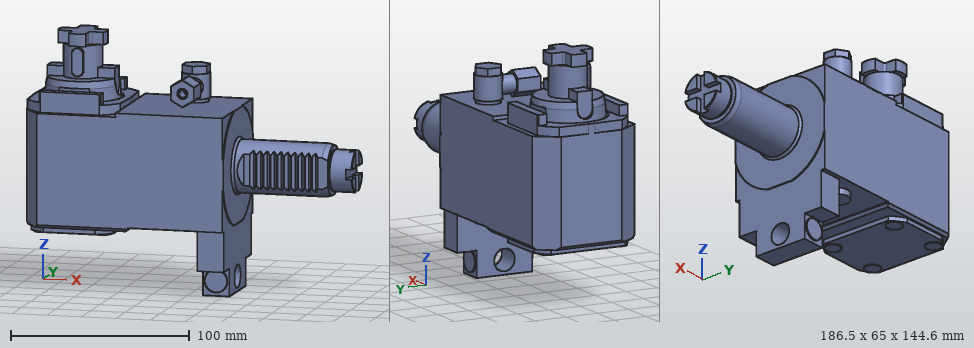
import cadquery as cq
import math


body_size = 65.0
half_size = body_size / 2
body_length = 117.7
contact_disc_height = 0.5
contact_disc_radius = 33.8
front_corner_x = 9.3
front_corner_y = 13.2
top_step_depth = 2.2
top_step_x = -62.7
sole_length = 62.1
sole_depth = 2.2
sole_chamfer = 1.7

spindle_x = -90.0
round_envelope_radius = 33.5

embed = 1.9

cover_half_length = 23.9
cover_half_width = 30.0
cover_height = 2.8
screw_head_radius = 5.0
screw_head_height = 0.5
screw_pitch_x = 34.5
screw_pitch_y = 44.8

flange_height = 5.6
flange_half_width = 29.0
flange_half_length = 27.6
flange_side_half_length = 26.5
flange_nose_half_width = 2.0
rail_half_length = 17.9
rail_width = 5.8
rail_height = 6.2
groove_radius = 23.0
groove_depth = 1.1

nut_base_radius = 21.5
nut_collar_radius = 20.9
nut_top_radius = 20.0
nut_collar_z = 43.3
nut_top_z = 47.2
nut_flat_half_width = 19.0

cross_key_width = 9.7
cross_key_half_length = 19.5
cross_key_top_z = 53.0
cross_key_bottom_z = 37.3

spindle_radius = 11.0
spindle_top_z = 73.1
cross_head_thickness = 7.0
cross_head_radius = 14.0
cross_arm_width = 9.9
cross_inner_fillet = 1.5
feather_width = 6.5
feather_bottom_z = 48.7
feather_top_z = 64.7
feather_reach = 12.7

bolt_x = -29.3
bolt_y = 17.7
bolt_head_flats = 14.2
bolt_head_top_z = 53.3
bolt_head_height = 4.5
plug_height = 4.0
banjo_radius = 8.0
banjo_bottom_z = 34.5
seat_radius = 7.3
nozzle_z = 41.5
nozzle_pipe_radius = 5.6
nozzle_nut_flats = 13.5
nozzle_nut_back_y = 2.5
nozzle_nut_length = 14.5
nozzle_bore_radius = 2.2
nozzle_bore_depth = 11.2
nozzle_bore_chamfer = 0.7

bracket_thickness = 15.3
bracket_half_width = 30.0
bracket_shoulder_z = -55.5
tongue_half_width = 17.7
tongue_bottom_z = -71.5
bracket_hole_radius = 6.5
bracket_hole_z = -62.9
pin_half_length = 18.5

shank_radius = 15.1
shank_root_radius = 16.5
shank_root_length = 1.5
shank_length = 55.0
shank_end_chamfer_length = 3.4
shank_end_chamfer_height = 1.0
neck_length = 1.0
neck_radius = 11.4
tang_radius = 12.0
total_reach = 68.8
tang_slot_width = 5.6
tang_slot_depth = 3.5
tang_edge_chamfer = 0.4

rack_flat_y = 12.1
rack_start_x = 6.3
rack_first_groove_x = 11.5
rack_last_groove_x = 47.5
rack_groove_count = 10
rack_pitch = (rack_last_groove_x - rack_first_groove_x) / (rack_groove_count - 1)
rack_groove_depth = 1.7

body_top_z = half_size
head_top_z = half_size - top_step_depth
sole_bottom_z = -half_size - sole_depth
flange_top_z = head_top_z + flange_height


def box(x_range, y_range, z_range):
    """Box spanning three (low, high) ranges."""
    sizes = [high - low for low, high in (x_range, y_range, z_range)]
    corner = (x_range[0], y_range[0], z_range[0])
    return cq.Workplane("XY").box(*sizes, centered=False).translate(corner)


def post(x, y, radius, bottom_z, top_z):
    """Vertical cylinder."""
    return cq.Workplane("XY", origin=(x, y, bottom_z)).circle(radius).extrude(top_z - bottom_z)


def hex_post(x, y, flats, bottom_z, top_z):
    """Vertical hexagonal prism with corners pointing along Y."""
    prism = cq.Workplane("XY").polygon(6, flats / math.cos(math.pi / 6)).extrude(top_z - bottom_z)
    return prism.rotate((0, 0, 0), (0, 0, 1), 30).translate((x, y, bottom_z))


def body_prism(right_x, bottom_z, top_z):
    """Block with the two slanted corners at the head end."""
    left_x = -body_length
    flat_half = half_size - front_corner_y
    outline = [
        (right_x, -half_size),
        (right_x, half_size),
        (left_x + front_corner_x, half_size),
        (left_x, flat_half),
        (left_x, -flat_half),
        (left_x + front_corner_x, -half_size),
    ]
    return cq.Workplane("XY", origin=(0, 0, bottom_z)).polyline(outline).close().extrude(top_z - bottom_z)


def make_body():
    block = body_prism(-contact_disc_height, -half_size, body_top_z)
    sole_right_x = sole_length - body_length
    sole = box((-body_length, sole_right_x), (-half_size, half_size), (sole_bottom_z, 0))
    sole = sole.faces("<Z").edges().chamfer(sole_chamfer)
    sole = sole.intersect(body_prism(sole_right_x, sole_bottom_z, 0))
    disc = cq.Workplane("YZ", origin=(-embed, 0, 0)).circle(contact_disc_radius).extrude(embed)
    square = box((-embed, 0), (-half_size, half_size), (-half_size, half_size))
    top_step = box((-body_length, top_step_x), (-half_size, half_size), (head_top_z, body_top_z))
    return block.union(sole).union(disc.intersect(square)).cut(top_step)


def make_bottom_cover():
    bottom_z = sole_bottom_z - cover_height
    cover = box(
        (spindle_x - cover_half_length, spindle_x + cover_half_length),
        (-cover_half_width, cover_half_width),
        (bottom_z, sole_bottom_z + embed),
    )
    cover = cover.intersect(post(spindle_x, 0, round_envelope_radius, bottom_z, 0))
    for side_x in (-1, 1):
        for side_y in (-1, 1):
            x = spindle_x + side_x * screw_pitch_x / 2
            y = side_y * screw_pitch_y / 2
            cover = cover.union(post(x, y, screw_head_radius, bottom_z - screw_head_height, sole_bottom_z))
    return cover


def make_flange():
    quarter = [
        (flange_half_length, flange_nose_half_width),
        (flange_side_half_length, flange_half_width),
    ]
    outline = quarter + [(-x, y) for x, y in reversed(quarter)]
    outline += [(-x, -y) for x, y in outline]
    plate = cq.Workplane("XY", origin=(spindle_x, 0, head_top_z)).polyline(outline).close()
    flange = plate.extrude(flange_height)
    rail_top_z = flange_top_z + rail_height
    for low_y in (-flange_half_width, flange_half_width - rail_width):
        rail = box(
            (spindle_x - rail_half_length, spindle_x + rail_half_length),
            (low_y, low_y + rail_width),
            (head_top_z, rail_top_z),
        )
        flange = flange.union(rail)
    flange = flange.intersect(post(spindle_x, 0, round_envelope_radius, head_top_z, rail_top_z))
    return flange.cut(post(spindle_x, 0, groove_radius, flange_top_z - groove_depth, flange_top_z))


def make_nut():
    profile = [
        (0, head_top_z),
        (nut_base_radius, head_top_z),
        (nut_base_radius, flange_top_z),
        (nut_collar_radius, nut_collar_z),
        (nut_top_radius, nut_top_z),
        (0, nut_top_z),
    ]
    nut = cq.Workplane("XZ").polyline(profile).close().revolve(360, (0, 0), (0, 1))
    nut = nut.translate((spindle_x, 0, 0))
    x_range = (spindle_x - nut_base_radius, spindle_x + nut_base_radius)
    z_range = (flange_top_z - groove_depth, nut_collar_z)
    nut = nut.cut(box(x_range, (nut_flat_half_width, nut_base_radius), z_range))
    return nut.cut(box(x_range, (-nut_base_radius, -nut_flat_half_width), z_range))


def cross_key(half_length):
    """Bar along X with a half-round underside."""
    half_width = cross_key_width / 2
    arc_z = cross_key_bottom_z + half_width
    profile = (
        cq.Workplane("YZ", origin=(spindle_x - half_length, 0, 0))
        .moveTo(-half_width, cross_key_top_z)
        .lineTo(-half_width, arc_z)
        .threePointArc((0, cross_key_bottom_z), (half_width, arc_z))
        .lineTo(half_width, cross_key_top_z)
        .close()
    )
    return profile.extrude(2 * half_length)


def make_spindle():
    head_z = spindle_top_z - cross_head_thickness
    spindle = post(spindle_x, 0, spindle_radius, head_top_z, head_z)
    head = (
        cq.Workplane("XY", origin=(spindle_x, 0, head_z))
        .rect(2 * cross_head_radius, cross_arm_width)
        .extrude(cross_head_thickness)
        .union(
            cq.Workplane("XY", origin=(spindle_x, 0, head_z))
            .rect(cross_arm_width, 2 * cross_head_radius)
            .extrude(cross_head_thickness)
        )
    )
    inner_corners = cq.selectors.BoxSelector(
        (spindle_x - cross_arm_width, -cross_arm_width, head_z),
        (spindle_x + cross_arm_width, cross_arm_width, spindle_top_z),
    )
    head = head.edges("|Z").edges(inner_corners).fillet(cross_inner_fillet)
    head = head.intersect(post(spindle_x, 0, cross_head_radius, head_z, spindle_top_z))
    feather = (
        cq.Workplane("XZ", origin=(spindle_x, 0, (feather_bottom_z + feather_top_z) / 2))
        .slot2D(feather_top_z - feather_bottom_z, feather_width, 90)
        .extrude(feather_reach)
    )
    return spindle.union(head).union(feather)


def make_coolant_fitting():
    head_z = bolt_head_top_z - bolt_head_height
    fitting = post(bolt_x, bolt_y, seat_radius, body_top_z - embed, head_z)
    fitting = fitting.union(post(bolt_x, bolt_y, banjo_radius, banjo_bottom_z, head_z))
    fitting = fitting.union(hex_post(bolt_x, bolt_y, bolt_head_flats, head_z, bolt_head_top_z))
    pipe = (
        cq.Workplane("XZ", origin=(bolt_x, bolt_y, nozzle_z))
        .circle(nozzle_pipe_radius)
        .extrude(bolt_y - nozzle_nut_back_y)
    )
    nut = hex_post(0, 0, nozzle_nut_flats, 0, nozzle_nut_length)
    bore = post(0, 0, nozzle_bore_radius, nozzle_nut_length - nozzle_bore_depth, nozzle_nut_length)
    nut = nut.cut(bore)
    nut = nut.faces(">Z").edges("%CIRCLE").chamfer(nozzle_bore_chamfer)
    nut = nut.rotate((0, 0, 0), (1, 0, 0), 90).translate((bolt_x, nozzle_nut_back_y, nozzle_z))
    return fitting.union(pipe).union(nut)


def make_bottom_plug():
    return post(bolt_x, bolt_y, seat_radius, -half_size - plug_height, -half_size + embed)


def make_bracket():
    x_range = (-contact_disc_height - bracket_thickness, -contact_disc_height)
    shoulder = (-bracket_half_width, bracket_half_width)
    tongue = (-tongue_half_width, tongue_half_width)
    bracket = box(x_range, shoulder, (bracket_shoulder_z, -half_size + embed))
    bracket = bracket.union(box(x_range, tongue, (tongue_bottom_z, bracket_shoulder_z)))
    centre_x = sum(x_range) / 2
    pin = (
        cq.Workplane("XZ", origin=(centre_x, 0, bracket_hole_z))
        .circle(bracket_hole_radius)
        .extrude(pin_half_length, both=True)
    )
    hole = (
        cq.Workplane("YZ", origin=(x_range[0], 0, bracket_hole_z))
        .circle(bracket_hole_radius)
        .extrude(bracket_thickness)
    )
    return bracket.union(pin).cut(hole)


def make_shank():
    tang_x = shank_length + neck_length
    profile = [
        (-embed, 0),
        (-embed, shank_root_radius),
        (0, shank_root_radius),
        (shank_root_length, shank_radius),
        (shank_length - shank_end_chamfer_length, shank_radius),
        (shank_length, shank_radius - shank_end_chamfer_height),
        (shank_length, neck_radius),
        (tang_x, neck_radius),
        (tang_x, tang_radius),
        (total_reach - tang_edge_chamfer, tang_radius),
        (total_reach, tang_radius - tang_edge_chamfer),
        (total_reach, 0),
    ]
    shank = cq.Workplane("XY").polyline(profile).close().revolve(360, (0, 0), (1, 0))
    half_slot = (-tang_slot_width / 2, tang_slot_width / 2)
    full_width = (-tang_radius, tang_radius)
    slot_x = (total_reach - tang_slot_depth, total_reach)
    return shank.cut(box(slot_x, full_width, half_slot)).cut(box(slot_x, half_slot, full_width))


def make_rack_cutter():
    runout = shank_root_radius - rack_flat_y
    flat_outline = [
        (rack_start_x, -rack_flat_y),
        (rack_start_x - runout, -shank_root_radius),
        (shank_length, -shank_root_radius),
        (shank_length, -rack_flat_y),
    ]
    cutter = cq.Workplane("XY").polyline(flat_outline).close().extrude(shank_radius, both=True)
    for index in range(rack_groove_count):
        x = rack_first_groove_x + index * rack_pitch
        groove_outline = [
            (x - rack_groove_depth, -rack_flat_y),
            (x, rack_groove_depth - rack_flat_y),
            (x + rack_groove_depth, -rack_flat_y),
        ]
        groove = cq.Workplane("XY").polyline(groove_outline).close().extrude(shank_radius, both=True)
        cutter = cutter.union(groove)
    return cutter


clamping_nut = make_nut().cut(cross_key(nut_base_radius)).union(cross_key(cross_key_half_length))

result = (
    make_body()
    .union(make_bottom_cover())
    .union(make_flange())
    .union(clamping_nut)
    .union(make_spindle())
    .union(make_coolant_fitting())
    .union(make_bottom_plug())
    .union(make_bracket())
    .union(make_shank().cut(make_rack_cutter()))
)